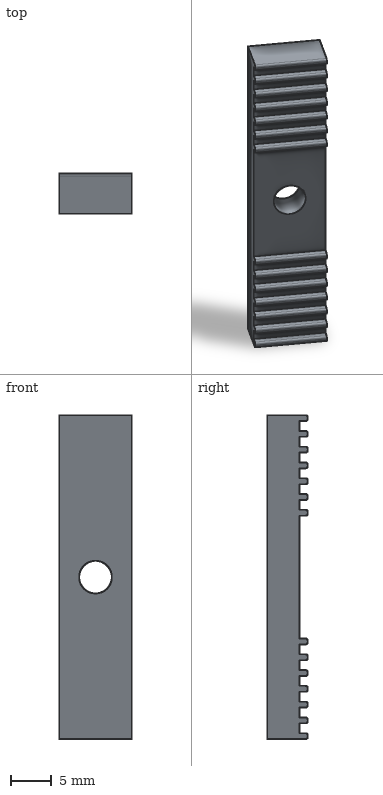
import cadquery as cq

width = 9.0
depth = 5.0
height = 40.0
tooth_length = 1.0
tooth_thickness = 0.75
tip_radius = 0.3
teeth_per_group = 7
group_height = 12.45
hole_diameter = 4.0

plate_depth = depth - tooth_length
pitch = (group_height - tooth_thickness) / (teeth_per_group - 1)


def make_plate():
    """Plate centred on X and Z, with its flat face at Y = 0."""
    return cq.Workplane("XY").box(width, plate_depth, height, centered=(True, False, True))


def make_tooth(center_z):
    """Full-width tooth with both long edges of its tip rounded."""
    tooth = cq.Workplane("XY").box(width, depth, tooth_thickness, centered=(True, False, True))
    tooth = tooth.faces(">Y").edges("|X").fillet(tip_radius)
    return tooth.translate((0, 0, center_z))


result = make_plate()

for index in range(teeth_per_group):
    tooth_z = (height - tooth_thickness) / 2 - index * pitch
    result = result.union(make_tooth(tooth_z))
    result = result.union(make_tooth(-tooth_z))

hole = cq.Workplane("XZ").circle(hole_diameter / 2).extrude(-plate_depth)
result = result.cut(hole).clean()